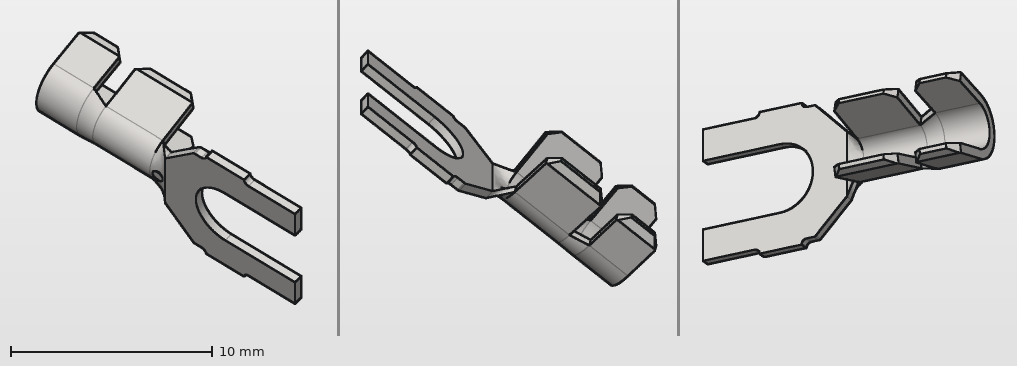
import math

import cadquery as cq


thickness = 0.51
overall_length = 16.26
overall_height = 4.06

rear_crimp_end = 2.54
front_crimp_start = 3.55
front_crimp_end = 7.13
fork_start = 8.10

rear_radius = 1.77
rear_lean = math.radians(12.0)
front_radius = 1.436
front_lean = math.radians(14.6)

tip_length = 0.46
tip_thinning = 0.25
tip_corner = 0.52

root_half_width = 1.76
shoulder_x = 9.90
shoulder_fillet = 0.14
prong_half_width = 3.55
pad_half_width = 3.825
pad_start = 10.66
pad_end = 13.06
pad_fillet = pad_half_width - prong_half_width
slot_half_width = 1.85
slot_bottom_x = 10.03

punch_x = 7.63
punch_radius = 0.32
punch_depth = 0.3


def bend_point(bend_radius, outer_radius, angle):
    """(Y, Z) on the bend, with the angle measured from the -Y direction."""
    return (
        outer_radius - bend_radius * math.cos(angle),
        bend_radius * math.sin(angle),
    )


def bend_wire(x, outer_radius, lean):
    """Closed cross section of the curved channel, without its wings."""
    inner_radius = outer_radius - thickness
    end_angle = math.pi / 2 - lean
    return (
        cq.Workplane("YZ", origin=(x, 0, 0))
        .moveTo(*bend_point(outer_radius, outer_radius, -end_angle))
        .threePointArc((0, 0), bend_point(outer_radius, outer_radius, end_angle))
        .lineTo(*bend_point(inner_radius, outer_radius, end_angle))
        .threePointArc((thickness, 0), bend_point(inner_radius, outer_radius, -end_angle))
        .close()
        .val()
    )


def flat_wire(x):
    """Cross section of the flat sheet at the root of the fork."""
    return (
        cq.Workplane("YZ", origin=(x, 0, 0))
        .moveTo(0, -root_half_width)
        .lineTo(0, root_half_width)
        .lineTo(thickness, root_half_width)
        .lineTo(thickness, -root_half_width)
        .close()
        .val()
    )


def ruled_loft(first_wire, second_wire):
    return cq.Workplane(obj=cq.Solid.makeLoft([first_wire, second_wire], True))


def channel(x_start, x_end, outer_radius, lean):
    """Straight length of the curved channel."""
    return ruled_loft(bend_wire(x_start, outer_radius, lean), bend_wire(x_end, outer_radius, lean))


def wing(x_start, x_end, outer_radius, lean):
    """One straight crimp wing on the +Z side, drawn upright and then leaned outwards."""
    length = x_end - x_start
    inner_root_y, inner_root_z = bend_point(outer_radius - thickness, outer_radius, math.pi / 2 - lean)
    wing_length = (overall_height - inner_root_y) / math.cos(lean)

    body = (
        cq.Workplane("YZ")
        .lineTo(wing_length, 0)
        .lineTo(wing_length, thickness - tip_thinning)
        .lineTo(wing_length - tip_length, thickness)
        .lineTo(0, thickness)
        .close()
        .extrude(length)
    )
    plan = (
        cq.Workplane("XY")
        .lineTo(length, 0)
        .lineTo(length, wing_length - tip_corner)
        .lineTo(length - tip_corner, wing_length)
        .lineTo(tip_corner, wing_length)
        .lineTo(0, wing_length - tip_corner)
        .close()
        .extrude(thickness)
    )
    return (
        body.intersect(plan)
        .rotate((0, 0, 0), (1, 0, 0), math.degrees(lean))
        .translate((x_start, inner_root_y, inner_root_z))
    )


def crimp(x_start, x_end, outer_radius, lean):
    """Channel with a wing on each side."""
    upper_wing = wing(x_start, x_end, outer_radius, lean)
    lower_wing = upper_wing.mirror("XY")
    return channel(x_start, x_end, outer_radius, lean).union(upper_wing).union(lower_wing)


def neck():
    """Wingless channel narrowing from the rear crimp to the front crimp."""
    return ruled_loft(
        bend_wire(rear_crimp_end, rear_radius, rear_lean),
        bend_wire(front_crimp_start, front_radius, front_lean),
    )


def transition():
    """Channel flattening out into the fork, with the round punch mark on its back."""
    flare = ruled_loft(bend_wire(front_crimp_end, front_radius, front_lean), flat_wire(fork_start))
    punch_mark = (
        cq.Workplane("XZ", origin=(punch_x, 0, 0))
        .circle(punch_radius)
        .extrude(-punch_depth)
    )
    return flare.union(punch_mark)


def fork_half():
    """The +Z half of the fork, from the centre line to the prong."""
    slot_centre_x = slot_bottom_x + slot_half_width
    fillet_mid = pad_fillet * (1 - math.sqrt(0.5))
    plate = (
        cq.Workplane("XZ")
        .moveTo(fork_start, 0)
        .lineTo(fork_start, root_half_width)
        .lineTo(shoulder_x, prong_half_width)
        .lineTo(pad_start - pad_fillet, prong_half_width)
        .threePointArc(
            (pad_start - fillet_mid, prong_half_width + fillet_mid),
            (pad_start, pad_half_width),
        )
        .lineTo(pad_end, pad_half_width)
        .threePointArc(
            (pad_end + fillet_mid, prong_half_width + fillet_mid),
            (pad_end + pad_fillet, prong_half_width),
        )
        .lineTo(overall_length, prong_half_width)
        .lineTo(overall_length, slot_half_width)
        .lineTo(slot_centre_x, slot_half_width)
        .radiusArc((slot_bottom_x, 0), -slot_half_width)
        .close()
        .extrude(-thickness)
    )
    shoulder_edge = cq.selectors.NearestToPointSelector((shoulder_x, thickness / 2, prong_half_width))
    return plate.edges("|Y").edges(shoulder_edge).fillet(shoulder_fillet)


def fork():
    half = fork_half()
    return half.union(half.mirror("XY"))


result = (
    crimp(0, rear_crimp_end, rear_radius, rear_lean)
    .union(neck())
    .union(crimp(front_crimp_start, front_crimp_end, front_radius, front_lean))
    .union(transition())
    .union(fork())
)